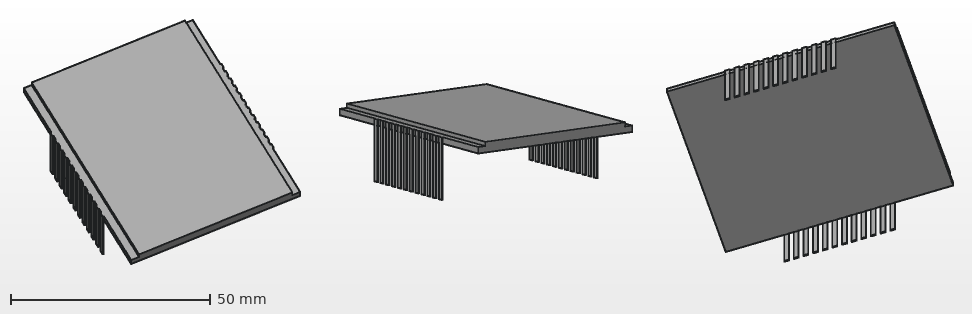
import cadquery as cq

plate_length = 60.0
overall_width = 48.0
overall_height = 17.1

lower_thickness = 1.7
upper_thickness = 1.1
upper_width = 43.0

pin_count = 12
pin_row_length = 29.2
pin_width = pin_row_length / (2 * pin_count - 1)
pin_pitch = 2 * pin_width
pin_thickness = 0.3

lower_width = overall_width - 2 * pin_thickness
pin_row_spacing = lower_width + pin_thickness
pin_length = overall_height - upper_thickness


def make_plate():
    """Lower plate standing on Z = 0, with a narrower plate centred on top of it."""
    lower = cq.Workplane("XY").box(
        plate_length, lower_width, lower_thickness, centered=(True, True, False)
    )
    upper = cq.Workplane("XY", origin=(0, 0, lower_thickness)).box(
        plate_length, upper_width, upper_thickness, centered=(True, True, False)
    )
    return lower.union(upper)


def make_pins():
    """Both rows of pins, hanging down from the level of the ledges."""
    return (
        cq.Workplane("XY", origin=(0, 0, lower_thickness))
        .rarray(pin_pitch, pin_row_spacing, pin_count, 2)
        .rect(pin_width, pin_thickness)
        .extrude(-pin_length)
    )


result = make_plate().union(make_pins())